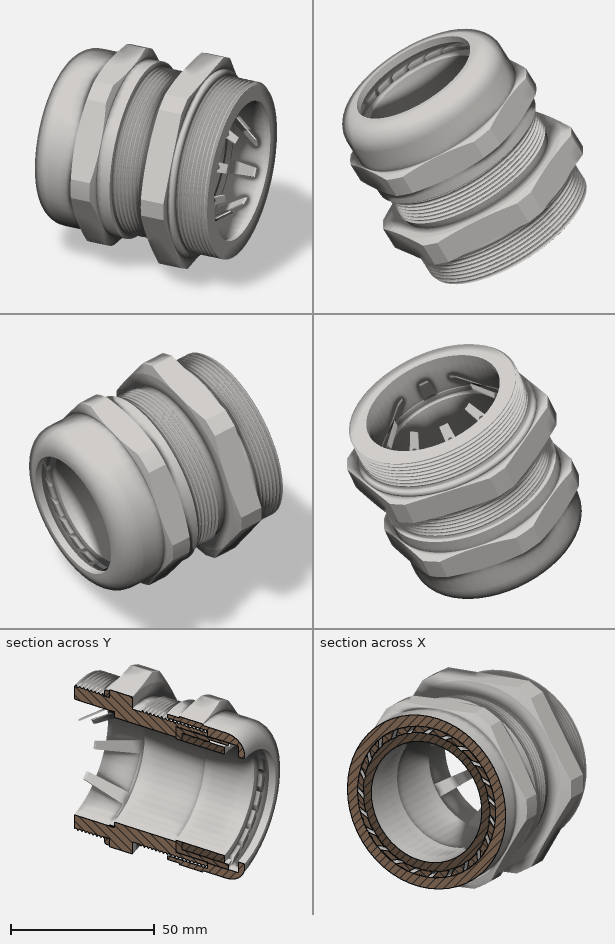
import cadquery as cq
import math


PITCH = 1.5
CAP_THREAD_D = 59.3
CAP_ROOT_D = 57.6
ENTRY_THREAD_D = 63.0
ENTRY_ROOT_D = 61.25
FLANK_ANGLE = 30.0
EMBED = 0.15
CAP_THREAD_PHASE = 180.0
ENTRY_THREAD_PHASE = 30.0

CAP_D = 63.0
CAP_LENGTH = 30.75
DOME_R = 7.5
CAP_OPENING_D = 45.2
LIP_LENGTH = 2.6
CAP_HEX_FLATS = 64.1
CAP_HEX_CORNERS = 70.1
CAP_HEX_START = 16.45
HEX_WIDTH = 9.4
CAP_HEX_CONE_D = 63.95
CAP_HEX_BEVEL = 1.1

CAGE_D = 54.5
CAGE_BORE_D = 50.05
CAGE_FRONT = 6.5
CAGE_REAR = 27.3
SLAT_COUNT = 23
SLOT_WIDTH = 1.3
SLOT_SLANT = 50.0
SLOT_LENGTH = 7.5
SLOT_START_ANGLE = 4.3

SEAL_BORE_D = 43.6
SEAL_FRONT = 8.0
SEAL_REAR = 24.7

HOUSING_FRONT = 14.95
CAP_THREAD_END = 41.5
HOUSING_HEX_START = 44.2
HOUSING_HEX_END = HOUSING_HEX_START + HEX_WIDTH
HOUSING_HEX_FLATS = 68.0
HOUSING_HEX_CORNERS = 74.8
HOUSING_HEX_CONE_D = 67.8
HOUSING_HEX_BEVEL = 0.9
HOUSING_BORE_D = 45.0
SPRING_SEAT_D = 49.8
TOTAL_LENGTH = 67.4

RING_D = 66.95
RING_WIDTH = 1.95
RING_ROUND = 1.3
RING_END = HOUSING_HEX_END + RING_WIDTH

SPRING_THICKNESS = 0.5
SPRING_START = 51.6
SPRING_BAND_LENGTH = 1.9
FINGER_COUNT = 8
FINGER_FIRST_ANGLE = 15.0
FINGER_LEAN = 37.5
FINGER_TIP_R = 14.6
FINGER_TIP_WIDTH = 3.15
FINGER_ROOT_WIDTH = 5.0


def cylinder(diameter, start, end):
    return cq.Workplane("YZ").workplane(offset=start).circle(diameter / 2).extrude(end - start)


def revolved(points):
    """Revolve a closed (x, radius) outline about the X axis."""
    return cq.Workplane("XY").polyline(points).close().revolve(360, (0, 0, 0), (1, 0, 0))


def hexagon(across_flats, start, end):
    """Hexagonal prism with two flats square to Z and two corners on the Y axis."""
    corner_diameter = across_flats / math.cos(math.radians(30))
    return cq.Workplane("YZ").workplane(offset=start).polygon(6, corner_diameter).extrude(end - start)


def threaded_rod(root_d, crest_d, start, end, phase):
    """Solid rod with a helical ridge cut off square at both ends; phase turns the ridge about X."""
    root_r = root_d / 2 - EMBED
    crest_r = crest_d / 2
    half_width = (crest_r - root_r) * math.tan(math.radians(FLANK_ANGLE))
    helix = cq.Wire.makeHelix(PITCH, end - start + 2 * PITCH, root_r)
    profile = cq.Workplane("XZ").polyline([(root_r, -half_width), (crest_r, 0), (root_r, half_width)]).close()
    ridge = profile.sweep(cq.Workplane(helix), isFrenet=True)
    ridge = ridge.rotate((0, 0, 0), (0, 1, 0), 90).rotate((0, 0, 0), (1, 0, 0), phase)
    ridge = ridge.translate((start - PITCH, 0, 0))
    overrun = 2 * PITCH
    rod = cylinder(root_d, start - overrun, end + overrun).union(ridge)
    return rod.intersect(cylinder(crest_d + PITCH, start, end))


def make_cap_nut():
    """Domed nut with a bevelled hexagon, a front lip, a cage chamber and a thread bore."""
    outer_r = CAP_D / 2
    diagonal = DOME_R * (1 - math.sqrt(0.5))
    body = (
        cq.Workplane("XY")
        .moveTo(0, 0)
        .lineTo(0, outer_r - DOME_R)
        .threePointArc((diagonal, outer_r - diagonal), (DOME_R, outer_r))
        .lineTo(CAP_LENGTH, outer_r)
        .lineTo(CAP_LENGTH, 0)
        .close()
        .revolve(360, (0, 0, 0), (1, 0, 0))
    )
    hex_end = CAP_HEX_START + HEX_WIDTH
    bevelled_disc = revolved([
        (CAP_HEX_START, 0),
        (CAP_HEX_START, CAP_HEX_CONE_D / 2),
        (CAP_HEX_START + CAP_HEX_BEVEL, CAP_HEX_CORNERS / 2),
        (hex_end - CAP_HEX_BEVEL, CAP_HEX_CORNERS / 2),
        (hex_end, CAP_HEX_CONE_D / 2),
        (hex_end, 0),
    ])
    body = body.union(hexagon(CAP_HEX_FLATS, CAP_HEX_START, hex_end).intersect(bevelled_disc))
    return (
        body.cut(cylinder(CAP_OPENING_D, 0, LIP_LENGTH))
        .cut(cylinder(CAGE_D, LIP_LENGTH, HOUSING_FRONT))
        .cut(cylinder(CAP_THREAD_D, HOUSING_FRONT, CAP_LENGTH))
    )


def make_cage():
    """Slotted sleeve around the seal, with an inner collar behind it."""
    cage = (
        cylinder(CAGE_D, CAGE_FRONT, CAGE_REAR)
        .cut(cylinder(CAGE_BORE_D, CAGE_FRONT, SEAL_REAR))
        .cut(cylinder(SEAL_BORE_D, SEAL_REAR, CAGE_REAR))
    )
    slot_centre_r = CAGE_BORE_D / 2
    slot_reach = 3 * (CAGE_D - CAGE_BORE_D)
    slot = (
        cq.Workplane("XY")
        .box(SLOT_LENGTH, slot_reach, SLOT_WIDTH, centered=(False, True, True))
        .rotate((0, 0, 0), (1, 0, 0), SLOT_SLANT)
        .translate((CAGE_FRONT, slot_centre_r, 0))
    )
    for i in range(SLAT_COUNT):
        angle = -SLOT_START_ANGLE - i * 360 / SLAT_COUNT
        cage = cage.cut(slot.rotate((0, 0, 0), (1, 0, 0), angle))
    return cage


def make_seal():
    """Plain sleeve held inside the cage."""
    return cylinder(CAGE_BORE_D, SEAL_FRONT, SEAL_REAR).cut(cylinder(SEAL_BORE_D, SEAL_FRONT, SEAL_REAR))


def make_housing():
    """Stepped tube with a hexagonal flange between its two threads."""
    corner_cutter = hexagon(HOUSING_HEX_CORNERS, HOUSING_HEX_START, HOUSING_HEX_END)
    corner_cutter = corner_cutter.rotate((0, 0, 0), (1, 0, 0), 30)
    cone_slope = (HOUSING_HEX_CORNERS - HOUSING_HEX_CONE_D) / 2 / HOUSING_HEX_BEVEL
    bevel_cone = revolved([
        (HOUSING_HEX_START, 0),
        (HOUSING_HEX_START, HOUSING_HEX_CONE_D / 2),
        (HOUSING_HEX_END, HOUSING_HEX_CONE_D / 2 + cone_slope * HEX_WIDTH),
        (HOUSING_HEX_END, 0),
    ])
    flange = hexagon(HOUSING_HEX_FLATS, HOUSING_HEX_START, HOUSING_HEX_END)
    flange = flange.intersect(corner_cutter).intersect(bevel_cone)

    cap_thread = threaded_rod(CAP_ROOT_D, CAP_THREAD_D, HOUSING_FRONT, CAP_THREAD_END, CAP_THREAD_PHASE)
    neck = cylinder(CAP_ROOT_D, CAP_THREAD_END, HOUSING_HEX_START)
    ring_land = cylinder(ENTRY_ROOT_D, HOUSING_HEX_END, RING_END)
    entry_thread = threaded_rod(ENTRY_ROOT_D, ENTRY_THREAD_D, RING_END, TOTAL_LENGTH, ENTRY_THREAD_PHASE)
    return (
        cap_thread.union(neck)
        .union(flange)
        .union(ring_land)
        .union(entry_thread)
        .cut(cylinder(CAGE_D, HOUSING_FRONT, CAGE_REAR))
        .cut(cylinder(HOUSING_BORE_D, CAGE_REAR, SPRING_START))
        .cut(cylinder(SPRING_SEAT_D, SPRING_START, TOTAL_LENGTH))
    )


def make_sealing_ring():
    """Washer whose rim is one arc, cut off by the flange face."""
    root_r = ENTRY_ROOT_D / 2
    arc_x = RING_END - RING_ROUND
    arc_r = RING_D / 2 - RING_ROUND
    flange_side_r = arc_r + math.sqrt(RING_ROUND**2 - (arc_x - HOUSING_HEX_END) ** 2)
    return (
        cq.Workplane("XY")
        .moveTo(HOUSING_HEX_END, root_r)
        .lineTo(HOUSING_HEX_END, flange_side_r)
        .threePointArc((arc_x, arc_r + RING_ROUND), (RING_END, arc_r))
        .lineTo(RING_END, root_r)
        .close()
        .revolve(360, (0, 0, 0), (1, 0, 0))
    )


def make_contact_spring():
    """Band in the housing with tapered fingers leaning inward towards the far end."""
    outer_r = SPRING_SEAT_D / 2
    inner_r = outer_r - SPRING_THICKNESS
    band_end = SPRING_START + SPRING_BAND_LENGTH
    band = cylinder(SPRING_SEAT_D, SPRING_START, band_end)
    band = band.cut(cylinder(2 * inner_r, SPRING_START, band_end))

    lean = math.tan(math.radians(FINGER_LEAN))
    tip_x = band_end + (inner_r - FINGER_TIP_R) / lean
    wall = SPRING_THICKNESS / math.sin(math.radians(FINGER_LEAN))
    skirt = revolved([
        (band_end - wall, outer_r - SPRING_THICKNESS / 2),
        (band_end - wall, inner_r),
        (band_end, inner_r),
        (tip_x, FINGER_TIP_R),
        (tip_x + wall, FINGER_TIP_R),
        (band_end, outer_r - SPRING_THICKNESS / 2),
    ])
    wedge = (
        cq.Workplane("YZ")
        .workplane(offset=SPRING_START)
        .polyline([
            (-FINGER_TIP_WIDTH / 2, FINGER_TIP_R - SPRING_THICKNESS),
            (FINGER_TIP_WIDTH / 2, FINGER_TIP_R - SPRING_THICKNESS),
            (FINGER_ROOT_WIDTH / 2, outer_r),
            (-FINGER_ROOT_WIDTH / 2, outer_r),
        ])
        .close()
        .extrude(TOTAL_LENGTH - SPRING_START)
    )
    finger = skirt.intersect(wedge)
    for i in range(FINGER_COUNT):
        angle = FINGER_FIRST_ANGLE + i * 360 / FINGER_COUNT
        band = band.union(finger.rotate((0, 0, 0), (1, 0, 0), angle))
    return band


cap_nut = make_cap_nut()
cage = make_cage()
seal = make_seal()
housing = make_housing()
sealing_ring = make_sealing_ring()
contact_spring = make_contact_spring()

result = cq.Compound.makeCompound([
    cap_nut.solids().val(),
    cage.solids().val(),
    seal.solids().val(),
    housing.solids().val(),
    sealing_ring.solids().val(),
    contact_spring.solids().val(),
])